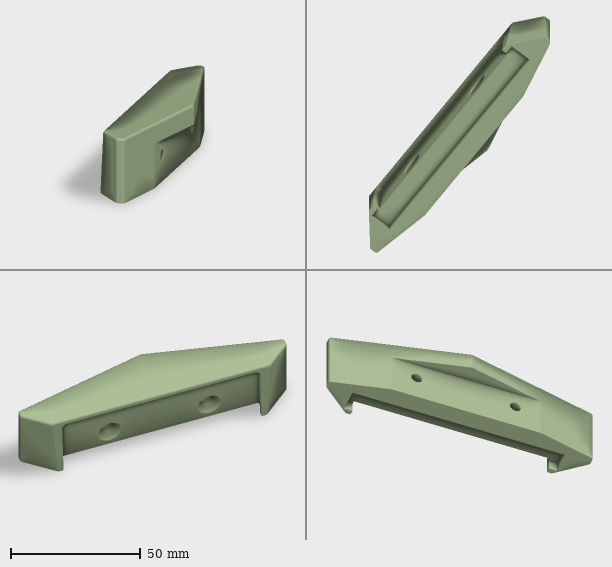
import cadquery as cq

length = 110.0
depth = 25.0
height = 26.0
half_length = length / 2

front_half_width = 43.0
end_front_x = 10.0
end_rear_x = 13.1
edge_radius = 1.0

front_lean = 1.9

rear_x = 18.3
overhang_z = 18.0

recess_x = 3.6
recess_half_width = 40.9
recess_top = 24.1
recess_corner_radius = 2.2

relief_height = 4.0
relief_front_x = 2.1
relief_rear_x = 11.0
relief_half_width = 44.4

hole_spacing = 41.1
hole_z = 10.7
hole_diameter = 4.5
countersink_diameter = 9.5
countersink_angle = 90.0


def box(x_min, x_max, width, z_min, z_max):
    """Block centred on Y with the given X and Z limits."""
    block = cq.Workplane("XY").box(x_max - x_min, width, z_max - z_min, centered=(False, True, False))
    return block.translate((x_min, 0, z_min))


def make_body():
    """Extruded plan outline with a leaning front and rounded end and top edges."""
    outline = [
        (0, -front_half_width),
        (end_front_x, -half_length),
        (end_rear_x, -half_length),
        (depth, 0),
        (end_rear_x, half_length),
        (end_front_x, half_length),
        (0, front_half_width),
    ]
    body = cq.Workplane("XY").polyline(outline).close().extrude(height)
    lean_wedge = (
        cq.Workplane("XZ")
        .polyline([(0, 0), (front_lean, height), (0, height)])
        .close()
        .extrude(half_length, both=True)
    )
    body = body.cut(lean_wedge)
    body = body.edges("|Z").edges("<Y or >Y").fillet(edge_radius)
    return body.faces(">Z").edges().fillet(edge_radius)


def make_recess():
    """Front pocket with rounded upper corners."""
    pocket = box(0, recess_x, 2 * recess_half_width, 0, recess_top)
    return pocket.edges("|X and >Z").fillet(recess_corner_radius)


def drill_holes(body):
    """Screw holes along X, countersunk into the recessed wall."""
    return (
        body.copyWorkplane(cq.Workplane("YZ", origin=(recess_x, 0, hole_z)).transformed(rotate=(0, 180, 0)))
        .pushPoints([(-hole_spacing / 2, 0), (hole_spacing / 2, 0)])
        .cskHole(hole_diameter, countersink_diameter, countersink_angle)
    )


rear_step = box(rear_x, depth, length, 0, overhang_z)
wall_relief = box(relief_front_x, relief_rear_x, 2 * relief_half_width, 0, relief_height)

body = make_body().cut(rear_step).cut(make_recess()).cut(wall_relief)
result = drill_holes(body)